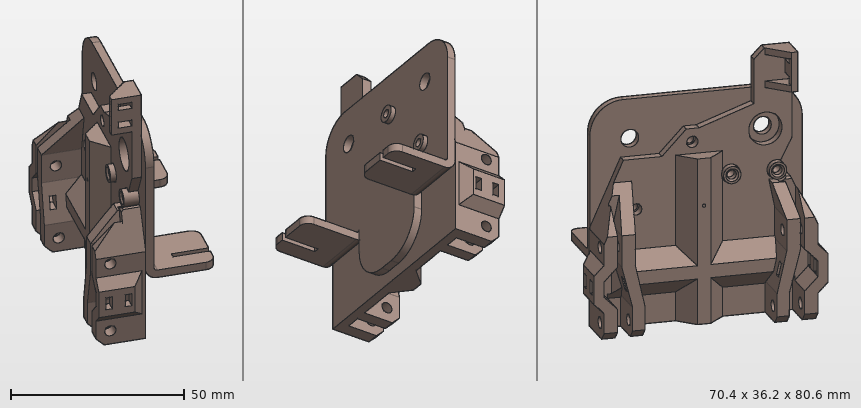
import cadquery as cq
import math


depth = 15.0
base_thickness = 2.9
half_width = 32.2
base_top = 50.5
mid_z = 15.95
shoulder_z = 29.65
slope_bottom = 31.8
foot_chamfer = 2.5
right_leg_top = 41.7
right_inner_leg_top = 40.45

step_left = 11.2
step_right = 3.9
step_top = 58.2

arm_foot = 63.9
arm_left = 16.5
arm_right = 28.0
arm_top = 80.6
arm_corner = 3.15
arm_bottom = 52.5
clip_front = 9.0
clip_wall = 2.0
clip_height = 12.1
clip_slit_depth = 4.0

rib_front = 8.0
rib_half_width = 2.0
pin_hole_diameter = 1.0
pin_hole_z = 36.1

outer_leg_thickness = 4.0
bulge = 3.02
bulge_half_height = 4.35
bulge_back = 1.1
cavity_half_height = 2.3
cavity_floor = 5.0
cavity_floor_edge = 27.1
web_front = 5.8
leg_top_outer = 22.8
side_lean = (half_width - leg_top_outer) / (base_top - shoulder_z)
upper_leg_outer = 26.9
upper_leg_inner = 22.8
leg_top_inner = 18.9
lower_leg_outer = 23.6
lower_leg_inner = 19.9
leg_hole_diameter = 3.4
leg_hole_depth = 10.6
leg_hole_offset = 11.45
slot_width = 1.9
slot_height = 4.0
slot_depths = (6.05, 11.9)

plate_thickness = 2.6
plate_half_width = 32.0
plate_top = 68.0
plate_bottom = 4.1
plate_corner = 10.0
lower_corner = 12.0
plate_hole_diameter = 5.3
plate_hole_x = 20.0
plate_hole_z = 56.0
clearance_diameter = 10.0

tab_end = 21.2
tab_width = 17.6
tab_corner = 3.0
tab_top = 22.6
tab_slot_width = 1.7
tab_slot_length = 11.2
tab_slot_x = 25.6
bend_diameter = 7.2
bend_outer_radius = bend_diameter / 2
bend_inner_radius = bend_outer_radius - plate_thickness

boss_diameter = 5.2
boss_opening = 5.65
front_boss_height = 4.6
boss_hole_diameter = 2.7
boss_hole_mouth = 3.9
boss_hole_depth = 4.0
rear_boss_height = 1.5
thread_diameter = 2.5
screw_clearance = 3.4
front_bosses = ((9.5, 43.35), (23.3, 43.35))
rear_bosses = ((-2.0, 54.1), (-18.9, 35.1))


def front_prism(points, back, front):
    """Prism with an XZ outline, between two depths in front of the joint."""
    return cq.Workplane("XZ", origin=(0, -back, 0)).polyline(points).close().extrude(front - back)


def flat_prism(points, bottom, top):
    """Prism with an XY outline, between two heights."""
    return cq.Workplane("XY", origin=(0, 0, bottom)).polyline(points).close().extrude(top - bottom)


def round_bar(x, z, diameter, back, front):
    """Cylinder along Y, between two depths in front of the joint."""
    return cq.Workplane("XZ", origin=(x, -back, z)).circle(diameter / 2).extrude(front - back)


def mirrored(shape):
    return shape.mirror("YZ")



def bracket_base():
    boss_x, boss_z = front_bosses[1]
    right_top_x = half_width - side_lean * (right_leg_top - shoulder_z)
    outline = [
        (-half_width, 0),
        (-half_width, shoulder_z),
        (-leg_top_outer, base_top),
        (-step_left, base_top),
        (-step_right, step_top),
        (0, step_top),
        (arm_left, arm_foot),
        (arm_left, arm_top - arm_corner),
        (arm_left + arm_corner, arm_top),
        (arm_right, arm_top),
        (arm_right, arm_bottom),
        (boss_x, boss_z),
        (boss_x, right_leg_top),
        (right_top_x, right_leg_top),
        (half_width, shoulder_z),
        (half_width, 0),
    ]
    return front_prism(outline, 0, base_thickness)


def clip():
    """Two shelves and a side wall at the top of the arm, with a slit beside each shelf."""
    reach = clip_front - base_thickness
    wall_x = arm_right - clip_wall
    bottom = arm_top - clip_height
    shelf = [
        (wall_x - reach, -base_thickness),
        (wall_x, -clip_front),
        (arm_right, -clip_front),
        (arm_right, -base_thickness),
    ]
    wall = cq.Workplane("XY").box(clip_wall, reach, clip_height, centered=False)
    body = wall.translate((wall_x, -clip_front, bottom))
    for shelf_z in (bottom, arm_top - clip_wall):
        body = body.union(flat_prism(shelf, shelf_z, shelf_z + clip_wall))
    for slit_z in (bottom + clip_wall, arm_top - 2 * clip_wall):
        slit = cq.Workplane("XY").box(clip_wall, clip_slit_depth, clip_wall, centered=False)
        body = body.cut(slit.translate((wall_x, -base_thickness - clip_slit_depth, slit_z)))
    return body


def ribs():
    """Cross of two ribs with 45 degree flanks, hollowed at both ends of the horizontal rib."""
    base_half = rib_half_width + rib_front - base_thickness
    section = [
        (-base_half, -base_thickness),
        (-rib_half_width, -rib_front),
        (rib_half_width, -rib_front),
        (base_half, -base_thickness),
    ]
    upright = flat_prism(section, 0, base_top)
    crossbar = cq.Workplane("YZ", origin=(-half_width, 0, mid_z))
    crossbar = crossbar.polyline([(y, z) for z, y in section]).close().extrude(2 * half_width)
    floor_rise = depth - cavity_floor
    hollow_section = [
        (-half_width, -cavity_floor),
        (-cavity_floor_edge, -cavity_floor),
        (-cavity_floor_edge + floor_rise, -depth),
        (-half_width, -depth),
    ]
    hollow = flat_prism(hollow_section, mid_z - base_half, mid_z + base_half)
    crossbar = crossbar.cut(hollow).cut(mirrored(hollow))
    pin_hole = round_bar(0, pin_hole_z, pin_hole_diameter, base_thickness, rib_front)
    return upright.union(crossbar).cut(pin_hole)


def leg_bulge():
    """Bulge on the left outer leg, sloping at 45 degrees at its top, bottom and back."""
    outer_x = half_width + bulge
    root_half = bulge_half_height + bulge
    face = front_prism(
        [
            (-half_width, mid_z - root_half),
            (-outer_x, mid_z - bulge_half_height),
            (-outer_x, mid_z + bulge_half_height),
            (-half_width, mid_z + root_half),
        ],
        bulge_back,
        depth,
    )
    plan = flat_prism(
        [
            (-half_width, -bulge_back),
            (-outer_x, -bulge_back - bulge),
            (-outer_x, -depth),
            (-half_width, -depth),
        ],
        mid_z - root_half,
        mid_z + root_half,
    )
    return face.intersect(plan)


def outer_leg():
    inner_x = half_width - outer_leg_thickness
    wall = front_prism(
        [
            (-half_width, 0),
            (-half_width, shoulder_z),
            (-inner_x, shoulder_z + outer_leg_thickness / side_lean),
            (-inner_x, 0),
        ],
        0,
        depth,
    )
    mouth_half = cavity_half_height + outer_leg_thickness
    cavity = front_prism(
        [
            (-half_width, mid_z - cavity_half_height),
            (-half_width, mid_z + cavity_half_height),
            (-inner_x, mid_z + mouth_half),
            (-inner_x, mid_z - mouth_half),
        ],
        cavity_floor,
        depth,
    )
    return wall.union(leg_bulge()).cut(cavity)


def inner_leg():
    bend_half = cavity_half_height + outer_leg_thickness
    outline = [
        (-lower_leg_outer, 0),
        (-lower_leg_outer, mid_z - bend_half),
        (-upper_leg_outer, mid_z + bend_half),
        (-upper_leg_outer, slope_bottom),
        (-leg_top_outer, base_top),
        (-leg_top_inner, base_top),
        (-upper_leg_inner, slope_bottom),
        (-upper_leg_inner, mid_z + bend_half),
        (-lower_leg_inner, mid_z - bend_half),
        (-lower_leg_inner, 0),
    ]
    return front_prism(outline, 0, depth)


def leg_web():
    """Slanted web that joins the outer leg to the inner leg above the shoulder."""
    outline = [
        (-half_width, shoulder_z),
        (-leg_top_outer, base_top),
        (-leg_top_outer + outer_leg_thickness, base_top),
        (-half_width + outer_leg_thickness, shoulder_z),
    ]
    return front_prism(outline, 0, web_front)


def leg_side_profile():
    """Side outline of the legs: sloped at 45 degrees above, chamfered at the foot."""
    span = half_width + bulge
    slope_top = slope_bottom + depth - base_thickness
    side = cq.Workplane("YZ", origin=(-span, 0, 0))
    side = side.polyline(
        [
            (0, 0),
            (0, base_top),
            (-base_thickness, base_top),
            (-base_thickness, slope_top),
            (-depth, slope_bottom),
            (-depth, foot_chamfer),
            (-depth + foot_chamfer, 0),
        ]
    )
    return side.close().extrude(span)


def leg_openings(slots, left_x, right_x):
    """Two pivot holes, and a rectangular slot at each given depth, across a leg."""
    length = right_x - left_x
    side = cq.Workplane("YZ", origin=(left_x, 0, mid_z))
    openings = side.pushPoints([(-leg_hole_depth, -leg_hole_offset), (-leg_hole_depth, leg_hole_offset)])
    openings = openings.circle(leg_hole_diameter / 2).extrude(length)
    for slot_depth in slots:
        openings = openings.union(side.center(-slot_depth, 0).rect(slot_width, slot_height).extrude(length))
    return openings


def leg_pair(outer_top, inner_top):
    """Left pair of legs, cut off at the given heights."""
    span = half_width + bulge
    inner_x = -half_width + outer_leg_thickness
    outer_trim = cq.Workplane("XY").rect(2 * span, 2 * depth).extrude(outer_top)
    inner_trim = cq.Workplane("XY").rect(2 * span, 2 * depth).extrude(inner_top)
    outer = outer_leg().cut(leg_openings(slot_depths, -span, inner_x))
    inner = inner_leg().cut(leg_openings(slot_depths[1:], inner_x, 0))
    pair = outer.union(leg_web()).intersect(outer_trim).union(inner.intersect(inner_trim))
    return pair.intersect(leg_side_profile())


def make_bracket():
    body = bracket_base().union(clip()).union(ribs())
    body = body.union(leg_pair(base_top, base_top))
    body = body.union(mirrored(leg_pair(right_leg_top, right_inner_leg_top)))
    for x, z in front_bosses:
        body = body.cut(round_bar(x, z, boss_opening, 0, depth))
    for x, z in rear_bosses:
        body = body.cut(round_bar(x, z, screw_clearance, 0, base_thickness))
    return body.cut(round_bar(plate_hole_x, plate_hole_z, clearance_diameter, 0, base_thickness))



def plate_tab(tab_x):
    """Tab bent backwards out of the plate, centred on X = 0, with its slot at tab_x."""
    tab_bottom = tab_top - plate_thickness
    bend_z = tab_top + bend_inner_radius
    bend_y = bend_outer_radius
    diagonal = math.sqrt(0.5)
    side = (
        cq.Workplane("YZ", origin=(-tab_width / 2, 0, 0))
        .moveTo(0, bend_z)
        .threePointArc(
            (bend_y - bend_outer_radius * diagonal, bend_z - bend_outer_radius * diagonal),
            (bend_y, tab_bottom),
        )
        .lineTo(tab_end, tab_bottom)
        .lineTo(tab_end, tab_top)
        .lineTo(bend_y, tab_top)
        .threePointArc(
            (bend_y - bend_inner_radius * diagonal, bend_z - bend_inner_radius * diagonal),
            (plate_thickness, bend_z),
        )
        .close()
        .extrude(tab_width)
    )
    side = side.edges("|Z and >Y").fillet(tab_corner)
    slot = cq.Workplane("XY").box(tab_slot_width, tab_slot_length, plate_thickness)
    return side.cut(slot.translate((tab_x, tab_end - tab_slot_length / 2, tab_top - plate_thickness / 2)))


def plate_panel():
    """Flat part of the plate: a wide upper panel and a narrow lower one between the tabs."""
    bend_z = tab_top + bend_inner_radius
    lower_half = plate_half_width - tab_width
    back = cq.Workplane("XZ", origin=(0, plate_thickness, 0))
    upper_height = plate_top - bend_z
    upper = back.center(0, bend_z + upper_height / 2).rect(2 * plate_half_width, upper_height)
    upper = upper.extrude(plate_thickness).edges("|Y and >Z").fillet(plate_corner)
    lower_height = bend_z - plate_bottom
    lower = back.center(0, plate_bottom + lower_height / 2).rect(2 * lower_half, lower_height)
    lower = lower.extrude(plate_thickness).edges("|Y and <Z").fillet(lower_corner)
    return upper.union(lower)


def front_boss(x, z):
    """Boss on the front of the plate, with a blind countersunk hole that ends in a cone."""
    radius = boss_diameter / 2
    hole_radius = boss_hole_diameter / 2
    mouth_radius = boss_hole_mouth / 2
    bottom = front_boss_height - boss_hole_depth
    profile = [
        (0, 0),
        (radius, 0),
        (radius, front_boss_height),
        (mouth_radius, front_boss_height),
        (hole_radius, front_boss_height - mouth_radius + hole_radius),
        (hole_radius, bottom + hole_radius),
        (0, bottom),
    ]
    turned = cq.Workplane("XY").polyline(profile).close().revolve(360, (0, 0, 0), (0, 1, 0))
    return turned.mirror("XZ").translate((x, 0, z))


def make_plate():
    body = plate_panel()
    tab_center = plate_half_width - tab_width / 2
    left_tab = plate_tab(tab_center - tab_slot_x).translate((-tab_center, 0, 0))
    body = body.union(left_tab).union(mirrored(left_tab))
    for x in (-plate_hole_x, plate_hole_x):
        body = body.cut(round_bar(x, plate_hole_z, plate_hole_diameter, -plate_thickness, 0))
    for x, z in front_bosses:
        body = body.union(front_boss(x, z))
    rear_end = plate_thickness + rear_boss_height
    for x, z in rear_bosses:
        body = body.union(round_bar(x, z, boss_diameter, -rear_end, -plate_thickness))
        body = body.cut(round_bar(x, z, thread_diameter, -rear_end, 0))
    return body


bracket = make_bracket()
plate = make_plate()
result = cq.Compound.makeCompound([bracket.val(), plate.val()])